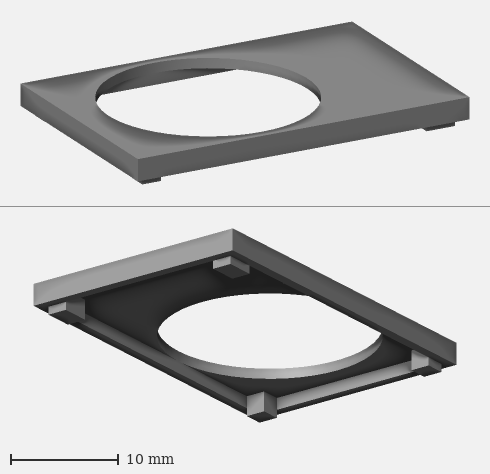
import cadquery as cq

width = 23.0
length = 35.0
total_height = 3.0

cover_height = 2.2
roof_thickness = 1.0

window_diameter = 21.0
window_center_y = 13.6

wall_thickness = (width - window_diameter) / 2

post_width = 2.0
front_post_length = 2.0
back_post_length = 3.0

wall_bottom_z = total_height - cover_height


def block(x, y, z, size_x, size_y, size_z):
    """Box whose lowest corner is at (x, y, z)."""
    return cq.Workplane("XY").box(size_x, size_y, size_z, centered=False).translate((x, y, z))


def hollow_cover():
    shell = block(0, 0, wall_bottom_z, width, length, cover_height)
    cavity = block(
        wall_thickness,
        wall_thickness,
        wall_bottom_z,
        width - 2 * wall_thickness,
        length - 2 * wall_thickness,
        cover_height - roof_thickness,
    )
    return shell.cut(cavity)


def window():
    return (
        cq.Workplane("XY")
        .center(width / 2, window_center_y)
        .circle(window_diameter / 2)
        .extrude(total_height)
    )


def post(x, y, post_length):
    return block(x, y, 0, post_width, post_length, total_height)


result = hollow_cover().cut(window())

back_post_y = length - wall_thickness - back_post_length
for post_x in (wall_thickness, width - wall_thickness - post_width):
    result = result.union(post(post_x, wall_thickness, front_post_length))
    result = result.union(post(post_x, back_post_y, back_post_length))